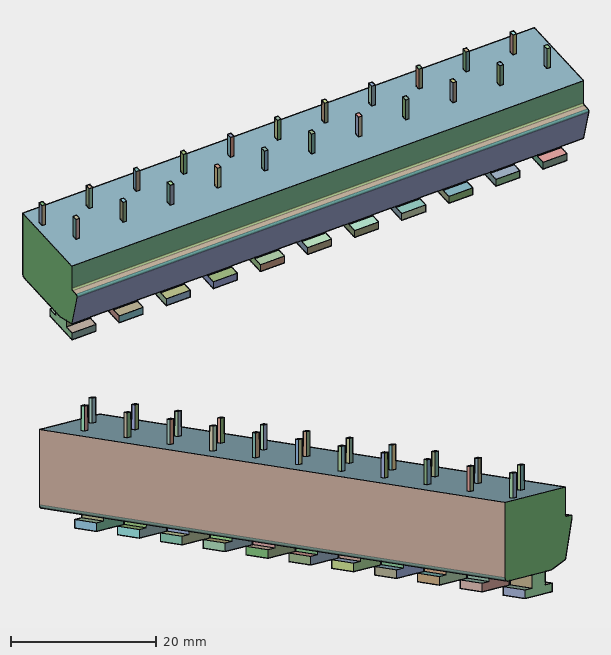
import cadquery as cq

length = 81.5
housing_width = 13.5
housing_height = 11.2
lower_edge_radius = 0.6

ledge_reach = 15.1
ledge_drop = 4.15
ledge_tip_radius = 0.285
ledge_root_radius = 0.25
slope_foot_height = 1.0
flat_bottom_end = 10.35

pole_count = 11
pole_pitch = 7.5
pole_shift = -0.3

pin_length = 3.5
pin_width_x = 0.8
pin_width_y = 0.6
pin_rows = [(3.35, -1.7), (8.3, 0.8)]

foot_height = 3.4
foot_length = 3.8
foot_center_x = 8.8
stem_top_width = 2.9
stem_base_width = 3.0
flange_width = 6.1
flange_thickness = 1.2

first_pole_y = pole_shift - (pole_count - 1) / 2 * pole_pitch
pole_centers = [first_pole_y + i * pole_pitch for i in range(pole_count)]


def extrude_along_y(profile, depth, center_y):
    """Extrude an XZ outline by depth, centred on center_y."""
    plane = cq.Workplane("XZ", origin=(0, center_y, 0))
    return plane.polyline(profile).close().extrude(depth / 2, both=True)


def round_edge_near(solid, x, z, radius):
    """Round the lengthwise edge of the housing nearest to (x, z)."""
    edge = cq.selectors.NearestToPointSelector((x, 0, z))
    return solid.edges("|Y").edges(edge).fillet(radius)


def make_housing():
    ledge_top = housing_height - ledge_drop
    profile = [
        (0, 0),
        (0, housing_height),
        (housing_width, housing_height),
        (housing_width, ledge_top),
        (ledge_reach, ledge_top),
        (housing_width, slope_foot_height),
        (flat_bottom_end, 0),
    ]
    housing = extrude_along_y(profile, length, 0)
    housing = round_edge_near(housing, 0, 0, lower_edge_radius)
    housing = round_edge_near(housing, housing_width, ledge_top, ledge_root_radius)
    return round_edge_near(housing, ledge_reach, ledge_top, ledge_tip_radius)


def make_pin(x, y):
    pin = cq.Workplane("XY", origin=(x, y, housing_height))
    return pin.rect(pin_width_x, pin_width_y).extrude(pin_length)


def make_foot(center_y):
    flange_top = flange_thickness - foot_height
    right_half = [
        (stem_top_width / 2, 0),
        (stem_base_width / 2, flange_top),
        (flange_width / 2, flange_top),
        (flange_width / 2, -foot_height),
    ]
    left_half = [(-x, z) for x, z in reversed(right_half)]
    profile = [(foot_center_x + x, z) for x, z in right_half + left_half]
    return extrude_along_y(profile, foot_length, center_y)


result = make_housing()
for pole_y in pole_centers:
    result = result.union(make_foot(pole_y))
    for row_x, row_offset in pin_rows:
        result = result.union(make_pin(row_x, pole_y + row_offset))